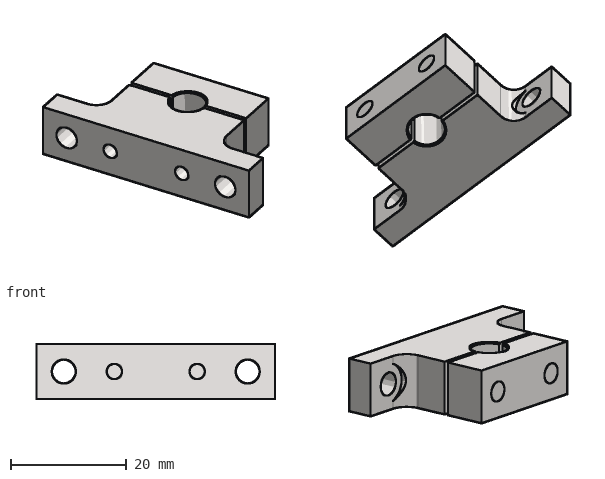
import cadquery as cq

length = 41.25
depth = 22.2
height = 9.55

clamp_width = 23.03
foot_thickness = 4.83
corner_radius = 3.05
cap_thickness = 7.6
gap = 0.75
cap_bottom = depth - cap_thickness
base_top = cap_bottom - gap
bore_y = (cap_bottom + base_top) / 2
bore_diameter = 6.35
bore_chamfer = 0.25

mount_spacing = 31.78
mount_diameter = 4.1
spotface_diameter = 7.15

screw_spacing = 14.32
screw_diameter = 3.55
pilot_diameter = 2.65
screw_end_y = 6.6


def y_cylinder(x, diameter, start, end):
    """Cylinder parallel to Y, at mid height."""
    return (
        cq.Workplane("XZ", origin=(x, start, 0))
        .circle(diameter / 2)
        .extrude(start - end)
    )


def make_bore_cutter():
    """Shaft bore along Z, widened by a chamfer at both ends."""
    radius = bore_diameter / 2
    half_height = height / 2
    return (
        cq.Workplane("XZ")
        .moveTo(0, -half_height)
        .lineTo(radius + bore_chamfer, -half_height)
        .lineTo(radius, -half_height + bore_chamfer)
        .lineTo(radius, half_height - bore_chamfer)
        .lineTo(radius + bore_chamfer, half_height)
        .lineTo(0, half_height)
        .close()
        .revolve(360, (0, 0), (0, 1))
        .translate((0, bore_y, 0))
    )


def make_screw(x):
    return y_cylinder(x, screw_diameter, screw_end_y, depth)


def make_base():
    foot = cq.Workplane("XY").box(length, foot_thickness, height, centered=(True, False, True))
    upright = cq.Workplane("XY").box(clamp_width, base_top, height, centered=(True, False, True))
    base = foot.union(upright)

    for side in (-1, 1):
        corner = cq.selectors.NearestToPointSelector((side * clamp_width / 2, foot_thickness, 0))
        base = base.edges("|Z").edges(corner).fillet(corner_radius)

    base = base.cut(make_bore_cutter())
    for side in (-1, 1):
        mount_x = side * mount_spacing / 2
        screw_x = side * screw_spacing / 2
        base = base.cut(y_cylinder(mount_x, mount_diameter, 0, foot_thickness))
        base = base.cut(y_cylinder(mount_x, spotface_diameter, foot_thickness, base_top))
        base = base.cut(y_cylinder(screw_x, pilot_diameter, 0, screw_end_y))
        base = base.cut(make_screw(screw_x))
    return base


def make_cap():
    cap = (
        cq.Workplane("XY", origin=(0, cap_bottom, 0))
        .box(clamp_width, cap_thickness, height, centered=(True, False, True))
        .cut(make_bore_cutter())
    )
    for side in (-1, 1):
        cap = cap.cut(make_screw(side * screw_spacing / 2))
    return cap


base = make_base()
cap = make_cap()
screws = [make_screw(side * screw_spacing / 2).val() for side in (-1, 1)]

result = cq.Compound.makeCompound([base.solids().val(), cap.solids().val(), *screws])